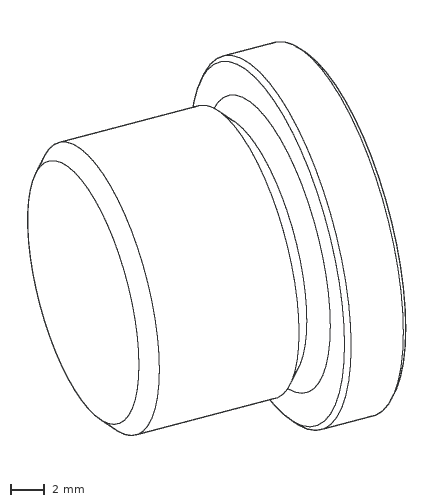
import cadquery as cq

total_length = 16.0
head_diameter = 23.0
head_thickness = 4.0
head_chamfer = 0.3
shank_diameter = 18.0
shank_chamfer = 0.92
neck_flare = 1.05

head_radius = head_diameter / 2
shank_radius = shank_diameter / 2
neck_radius = shank_radius - shank_chamfer
head_start = total_length - head_thickness
neck_position = head_start - neck_flare

profile = (
    cq.Workplane("XY")
    .moveTo(0, 0)
    .lineTo(shank_radius - shank_chamfer, 0)
    .lineTo(shank_radius, shank_chamfer)
    .lineTo(shank_radius, neck_position - shank_chamfer)
    .lineTo(neck_radius, neck_position)
    .lineTo(neck_radius + neck_flare, head_start)
    .lineTo(head_radius - head_chamfer, head_start)
    .lineTo(head_radius, head_start + head_chamfer)
    .lineTo(head_radius, total_length - head_chamfer)
    .lineTo(head_radius - head_chamfer, total_length)
    .lineTo(0, total_length)
    .close()
)

result = profile.revolve(360, (0, 0, 0), (0, 1, 0))